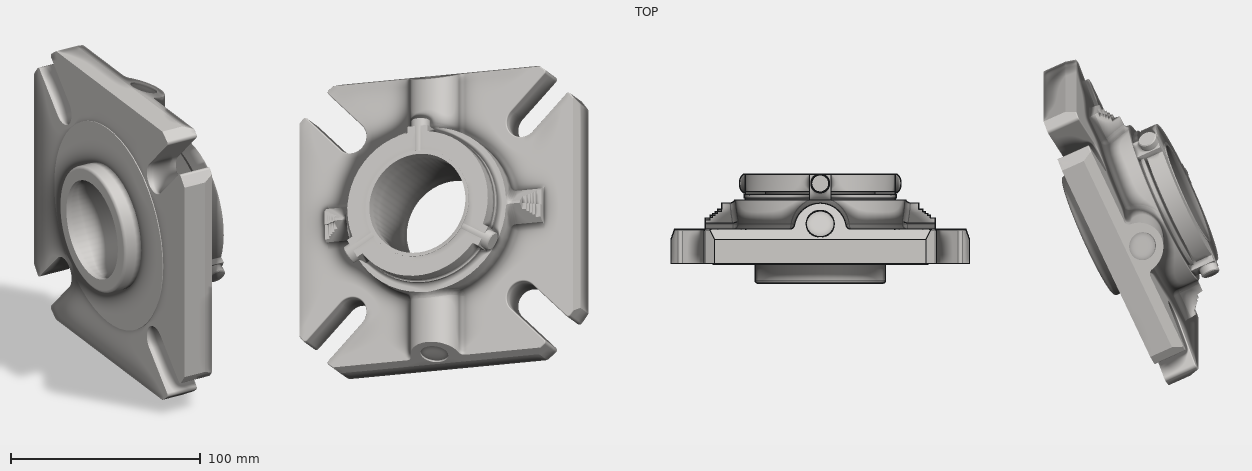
import cadquery as cq
import math


plate_side = 157.6
plate_thickness = 18.1
corner_radius = 96.5
taper_start = 12.6
taper_angle = 20.0
register_diameter = 113.5
register_height = 0.5

slot_width = 17.0
slot_center_radius = 67.8
slot_tip_radius = 1.5
tip_zone_inner = 56.7
tip_zone_outer = 77.2
slot_rim_radius = 0.6

hub_diameter = 89.5
hub_top = 33.5
boss_radius = 13.7
cast_fillet = 2.8
recess_diameter = 14.8
recess_depth = 1.1
recess_height = 21.1

gusset_steps = [(52.0, 32.0), (54.0, 28.7), (55.5, 27.5), (56.7, 26.5), (58.0, 25.5), (60.7, 24.1)]
gusset_step_drop = 1.1
gusset_half_width = 9.1
gusset_shoulder = 21.5
gusset_ridge = gusset_steps[0][1]
gusset_ridge_half_width = 0.6

bore_diameter = 53.9
ring_diameter = 68.9
ring_front = -10.4
ring_fillet = 1.5
neck_diameter = 57.7
back_end = 47.3
seal_diameter = 78.8
flinger_diameter = 80.4
flinger_bottom = 34.7
flinger_top = 36.4
collar_diameter = 78.8
collar_bottom = 38.0
collar_top = 47.0

screw_count = 3
screw_diameter = 10.0
screw_reach = 46.7
screw_height = 42.2
screw_edge = 0.5
lug_width = 11.3
lug_reach = 42.4

blank_allowance = 6.3
blank_side = plate_side + blank_allowance
blank_height = hub_top + blank_allowance
selection_margin = 0.2


def disc(diameter, bottom, top):
    """Cylinder on the shaft axis between two heights along Y."""
    return cq.Workplane("XZ", origin=(0, bottom, 0)).circle(diameter / 2).extrude(bottom - top)


def envelope():
    """Outer limits of the casting: straight sides that lean inward, with turned corners."""
    top_side = plate_side - 2 * math.tan(math.radians(taper_angle)) * (hub_top - taper_start)
    straight = cq.Workplane("XZ").rect(plate_side, plate_side).extrude(-taper_start)
    leaning = (
        cq.Workplane("XZ", origin=(0, taper_start, 0))
        .rect(plate_side, plate_side)
        .workplane(offset=taper_start - hub_top)
        .rect(top_side, top_side)
        .loft(combine=True)
    )
    return straight.union(leaning).intersect(disc(2 * corner_radius, 0, hub_top))


def gusset_blank():
    """Roof-shaped bar along X that forms both gussets."""
    return (
        cq.Workplane("YZ")
        .polyline([
            (0, -gusset_half_width),
            (gusset_shoulder, -gusset_half_width),
            (gusset_ridge, -gusset_ridge_half_width),
            (gusset_ridge, gusset_ridge_half_width),
            (gusset_shoulder, gusset_half_width),
            (0, gusset_half_width),
        ])
        .close()
        .extrude(blank_side / 2, both=True)
    )


def gusset_trim(side, half):
    """Material removed beyond the stepped end of one half (+Z or -Z) of a gusset."""
    drop = gusset_step_drop if side * half < 0 else 0
    points = [(side * gusset_steps[0][0], hub_top)]
    for (reach, _), (next_reach, next_top) in zip(gusset_steps, gusset_steps[1:]):
        points += [(side * reach, next_top - drop), (side * next_reach, next_top - drop)]
    last_reach = gusset_steps[-1][0]
    points += [
        (side * last_reach, plate_thickness),
        (side * blank_side, plate_thickness),
        (side * blank_side, hub_top),
    ]
    trim_half_width = gusset_half_width + 2 * cast_fillet
    return cq.Workplane("XY").polyline(points).close().extrude(half * trim_half_width)


def casting():
    """Plate, hub, bosses and gussets with cast fillets."""
    boss_bar = (
        cq.Workplane("XY")
        .center(0, plate_thickness)
        .circle(boss_radius)
        .extrude(blank_side / 2, both=True)
    )
    blank = (
        cq.Workplane("XZ")
        .rect(blank_side, blank_side)
        .extrude(-plate_thickness)
        .union(disc(hub_diameter, 0, blank_height))
        .union(boss_bar)
        .union(gusset_blank())
    )
    margin = selection_margin
    inside = blank_side / 2 - margin
    base_edges = cq.selectors.BoxSelector(
        (-inside, plate_thickness - margin, -inside), (inside, plate_thickness + margin, inside)
    )
    wall_zone = cq.selectors.BoxSelector(
        (-inside, plate_thickness, -inside), (inside, blank_height - margin, inside)
    )
    wall_edges = cq.selectors.StringSyntaxSelector("(not %LINE) or |Y")
    body = blank.edges(base_edges + (wall_zone & wall_edges)).fillet(cast_fillet)
    for side in (-1, 1):
        for half in (-1, 1):
            body = body.cut(gusset_trim(side, half))
    return body.intersect(envelope())


def slot(angle):
    """Open-ended corner slot."""
    length = plate_side / 2
    cutter = (
        cq.Workplane("XZ")
        .center(slot_center_radius + length / 2, 0)
        .slot2D(length + slot_width, slot_width)
        .extrude(-hub_top)
    )
    return cutter.rotate((0, 0, 0), (0, 1, 0), angle)


def round_slots(plate):
    """Round the tips beside every slot mouth, then the slot rims on the back of the plate."""
    rim_point = slot_center_radius / math.sqrt(2) - slot_width / 4
    for x_side in (-1, 1):
        for z_side in (-1, 1):
            tip_zone = cq.selectors.BoxSelector(
                (x_side * tip_zone_inner, 0, z_side * tip_zone_inner),
                (x_side * tip_zone_outer, plate_thickness, z_side * tip_zone_outer),
            )
            tips = cq.selectors.StringSyntaxSelector("|Y") & tip_zone
            plate = plate.edges(tips).fillet(slot_tip_radius)
            rim_end = cq.selectors.NearestToPointSelector(
                (x_side * rim_point, plate_thickness, z_side * rim_point)
            )
            plate = plate.edges(rim_end).fillet(slot_rim_radius)
    return plate


def recess(side):
    """Shallow round recess, square to the leaning face of one boss."""
    lean = math.radians(taper_angle)
    face_z = plate_side / 2 - (recess_height - taper_start) * math.tan(lean)
    face = cq.Plane(
        origin=(0, recess_height, side * face_z),
        xDir=(1, 0, 0),
        normal=(0, math.sin(lean), side * math.cos(lean)),
    )
    return cq.Workplane(face).circle(recess_diameter / 2).extrude(-recess_depth)


def screw_lug(angle):
    """Collar lug with a protruding set screw, turned about the shaft axis."""
    root = neck_diameter / 2
    lug_height = collar_top - hub_top
    lug = (
        cq.Workplane("XY")
        .box(lug_width, lug_height, lug_reach - root, centered=(True, False, False))
        .translate((0, hub_top, root))
    )
    screw = (
        cq.Workplane("XY", origin=(0, screw_height, root))
        .circle(screw_diameter / 2)
        .extrude(screw_reach - root)
        .faces(">Z")
        .chamfer(screw_edge)
    )
    return lug.union(screw).rotate((0, 0, 0), (0, 1, 0), angle)


result = casting()

for quarter in range(4):
    result = result.cut(slot(45 + 90 * quarter))
result = round_slots(result)
result = result.union(disc(register_diameter, -register_height, plate_thickness))

for side in (-1, 1):
    result = result.cut(recess(side))

ring = disc(ring_diameter, ring_front, 0).faces("<Y").edges().fillet(ring_fillet)
result = (
    result.union(ring)
    .union(disc(neck_diameter, 0, back_end))
    .union(disc(seal_diameter, 0, flinger_bottom))
    .union(disc(flinger_diameter, flinger_bottom, flinger_top))
    .union(disc(collar_diameter, collar_bottom, collar_top))
)
for index in range(screw_count):
    result = result.union(screw_lug(index * 360 / screw_count))

result = result.cut(disc(bore_diameter, ring_front, back_end))